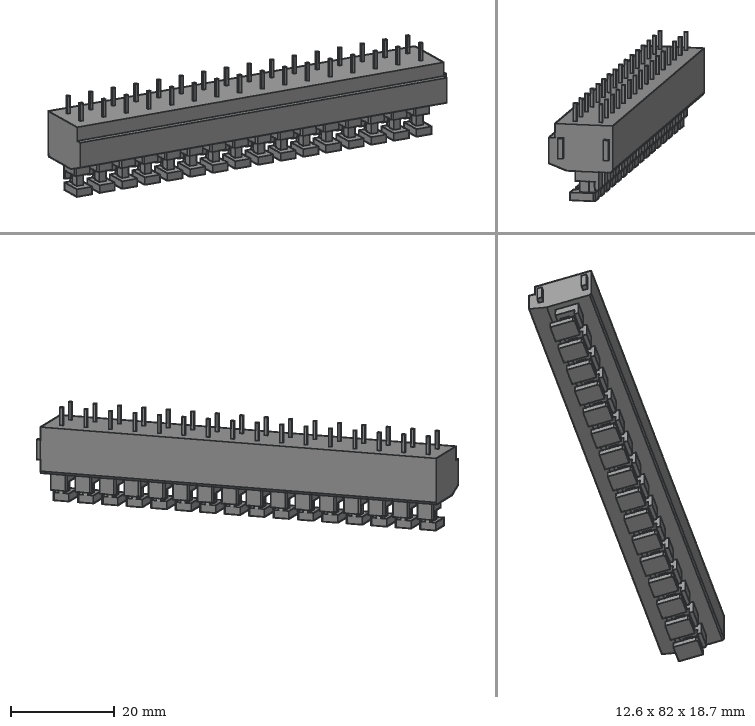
import cadquery as cq

overall_length = 82.0
overall_height = 18.7
rib_depth = 1.0
body_length = overall_length - rib_depth
body_width = 12.6
body_height = 9.2
step_width = 1.2
step_height = 2.8
slope_width = 3.6
slope_height = 1.3
bottom_chamfer_height = 0.5
bottom_chamfer_width = 0.3

pole_count = 16
pole_pitch = 5.0
first_pole_y = 2.7

pin_size = 0.6
pin_length = 3.5
pin_columns_x = (3.0, 8.1)

rib_width = 1.0
rib_height = 3.9
rib_bottom = 2.55
rib_columns_x = (1.15, 10.2)

guide_left = 2.95
guide_right = 7.6
guide_front = -1.1
guide_width = 3.3
guide_height = 2.1
guide_corner_chamfer = 0.3
lip_thickness = 0.8
lip_height = 3.8
column_left = 5.2
column_right = 7.0
column_width = 1.5
tongue_left = 4.2
tongue_width = 1.0
toe_height = 1.3
foot_left = guide_left + lip_thickness
foot_length = 4.9
foot_front = -1.2
foot_width = 3.4
foot_thickness = 1.55
foot_corner_chamfer = 0.3
foot_bottom = pin_length + body_height - overall_height
foot_top = foot_bottom + foot_thickness
stem_height = -guide_height - foot_top
stem_center_y = foot_front + foot_width / 2


def box(x, y, z, dx, dy, dz):
    """Box with its lowest corner at (x, y, z)."""
    return cq.Workplane("XY").box(dx, dy, dz, centered=False).translate((x, y, z))


def make_body():
    """Stepped, sloped and chamfered section, extruded along Y."""
    outline = [
        (bottom_chamfer_width, 0),
        (body_width - slope_width, 0),
        (body_width, slope_height),
        (body_width, body_height - step_height),
        (body_width - step_width, body_height - step_height),
        (body_width - step_width, body_height),
        (0, body_height),
        (0, bottom_chamfer_height),
    ]
    return cq.Workplane("XZ").polyline(outline).close().extrude(-body_length)


def make_ribs():
    """Upright coupling ribs standing out of the +Y end."""
    return [
        box(x - rib_width / 2, body_length, rib_bottom, rib_width, rib_depth, rib_height)
        for x in rib_columns_x
    ]


def make_pins():
    """Square solder pins of one pole, placed at Y = 0."""
    return [
        box(x - pin_size / 2, -pin_size / 2, body_height, pin_size, pin_size, pin_length)
        for x in pin_columns_x
    ]


def make_guide():
    """Guide block under the housing with a longer lip on its -X side."""
    block = box(guide_left, guide_front, -lip_height, guide_right - guide_left, guide_width, lip_height)
    block = block.edges("|Z and <Y").chamfer(guide_corner_chamfer)
    relief = box(foot_left, guide_front, -lip_height, guide_right, guide_width, lip_height - guide_height)
    return block.cut(relief)


def make_stem():
    """Stem from guide to foot: a square-edged column with a narrower tongue that flares at its toe."""
    column = box(
        column_left, stem_center_y - column_width / 2, foot_top,
        column_right - column_left, column_width, stem_height,
    )
    tongue_side = [
        (column_left, foot_top),
        (foot_left, foot_top),
        (tongue_left, foot_top + toe_height),
        (tongue_left, foot_top + stem_height),
        (column_left, foot_top + stem_height),
    ]
    tongue = (
        cq.Workplane("XZ", origin=(0, stem_center_y, 0))
        .polyline(tongue_side).close()
        .extrude(tongue_width / 2, both=True)
    )
    return column.union(tongue)


def make_foot():
    """Foot plate with one chamfered corner on its -X, +Y side."""
    foot = box(foot_left, foot_front, foot_bottom, foot_length, foot_width, foot_thickness)
    return foot.edges("|Z and <X and >Y").chamfer(foot_corner_chamfer)


def make_pole():
    """Actuator and pins of one pole, as separate pieces placed at Y = 0."""
    actuator = make_guide().union(make_stem()).union(make_foot())
    return [actuator] + make_pins()


result = make_body()
for rib in make_ribs():
    result = result.union(rib)

pole_pieces = make_pole()
for index in range(pole_count):
    pole_y = first_pole_y + index * pole_pitch
    for piece in pole_pieces:
        result = result.union(piece.translate((0, pole_y, 0)))